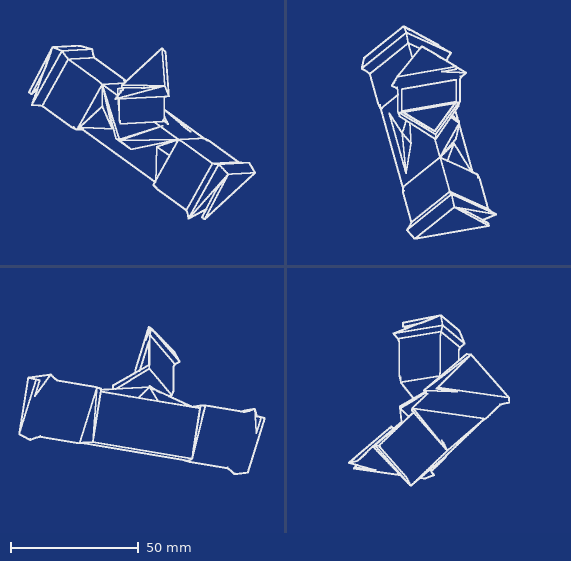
import cadquery as cq
import math

RUN_HALF_LENGTH = 46.0
RUN_BEAD_DIAMETER = 36.0
BRANCH_HEIGHT = 44.9

RUN_PROFILE = [
    (20.0, 15.0),
    (21.8, 15.4),
    (22.45, 15.5),
    (37.7, 15.5),
    (39.1, 16.3),
    (41.0, RUN_BEAD_DIAMETER / 2),
]
RUN_END_RADIUS = 15.9
RUN_BORE_RADIUS = 14.0
RUN_LIP = 1.5

BRANCH_PROFILE = [
    (19.6, 11.8),
    (21.8, 12.3),
    (22.4, 12.5),
    (36.4, 12.5),
    (37.8, 13.1),
    (39.7, 15.0),
]
BRANCH_END_RADIUS = 12.8
BRANCH_BORE_RADIUS = 10.95
BRANCH_LIP = 1.75

BRANCH_RECESS = 0.1

SKIRT_RADIUS = 12.0
SKIRT_FLOOR_RADIUS = 10.5
SKIRT_FLOOR_DEPTH = 0.3
SKIRT_EDGE = 19.6
SKIRT_TIP = 16.5

BODY_RADIUS = 15.0
BODY_THIN_RADIUS = 13.4
BODY_HALF_LENGTH = RUN_PROFILE[0][0]
FLANGE_HALF_LENGTH = 21.8
KEEL_TOP = -11.8

POCKET_CORNERS = [(-7.3, 5.6), (13.2, 9.2)]

SADDLE_REACH = 12.2
SADDLE_HEIGHT = 8.65
SADDLE_FOOT_HALF_WIDTH = 4.0
SADDLE_FOOT_HEIGHT = 3.9
BLADE_HEIGHT = 0.7
BLADE_END_X = 11.7
BLADE_END_Z = 16.6

REAR_SPAN = 15.3
REAR_FOOT_HEIGHT = 2.4
REAR_REACH = 10.8
REAR_HEIGHT = 8.3
REAR_LEFT_X = -4.4
REAR_LEFT_HEIGHT = 6.8
REAR_RIGHT_X = 9.4
REAR_RIGHT_HEIGHT = 9.1

FLAT = 8.46e-06


def convex_solid(points):
    """Smallest flat-faced solid that holds all the points."""
    corners = [cq.Vector(*p) for p in points]
    count = len(corners)
    faces = {}
    for i in range(count):
        for j in range(i + 1, count):
            for k in range(j + 1, count):
                normal = (corners[j] - corners[i]).cross(corners[k] - corners[i])
                if normal.Length < FLAT:
                    continue
                normal = normal.normalized()
                heights = [(c - corners[i]).dot(normal) for c in corners]
                if min(heights) < -FLAT and max(heights) > FLAT:
                    continue
                on_face = tuple(n for n, h in enumerate(heights) if abs(h) < FLAT)
                faces[on_face] = (normal, (corners[j] - corners[i]).normalized())
    return cq.Workplane(cq.Solid.makeSolid(cq.Shell.makeShell(
        [flat_face([corners[n] for n in ring], *axes) for ring, axes in faces.items()]
    )))


def flat_face(corners, normal, along):
    """Convex polygon through coplanar corners, put in order around their middle."""
    middle = sum(corners, cq.Vector()) / len(corners)
    across = normal.cross(along)

    def turn(corner):
        arm = corner - middle
        return math.atan2(arm.dot(across), arm.dot(along))

    ordered = sorted(corners, key=turn)
    return cq.Face.makeFromWires(cq.Wire.makePolygon(ordered, close=True))


def run_point(side):
    """Maps (along the axis, to the ridge, to +Y) for the run end on one side."""
    return lambda along, ridge, across: (side * along, across, ridge)


def branch_point(along, ridge, across):
    """Maps (along the axis, to the ridge, to +Y) for the branch, whose ridge is at +X."""
    return (ridge, across, along)


def half_section(place, along, radius):
    """Corners of the three-sided half section: the ridge and the two edges of the flat side."""
    return [place(along, radius, 0), place(along, 0, radius), place(along, 0, -radius)]


def socket(place, profile, end, end_radius, bore_radius, lip):
    """Shank and bead from the profile, then the sloping end with its lip.

    The steps of the profile stay marked on the flat side, so faces are not merged.
    """
    sections = [half_section(place, along, radius) for along, radius in profile]
    solid = convex_solid(sections[0] + sections[1])
    for inner, outer in zip(sections[1:], sections[2:]):
        solid = solid.union(convex_solid(inner + outer), clean=False)

    end_ridge = (end_radius, 0)
    end_edge = (0, end_radius)
    slope_end = [place(end, *corner) for corner in (end_ridge, end_edge, (0, 0))]
    solid = solid.union(convex_solid(sections[-1] + slope_end), clean=False)

    lip_outline = [end_ridge, end_edge, (0, -bore_radius)]
    lip_corners = [place(along, *corner) for along in (end - lip, end) for corner in lip_outline]
    return solid.union(convex_solid(lip_corners), clean=False)


def run_socket(side):
    return socket(
        run_point(side), RUN_PROFILE, RUN_HALF_LENGTH, RUN_END_RADIUS, RUN_BORE_RADIUS, RUN_LIP
    ).clean()


def branch_skirt():
    """Sloping skirt under the branch, with a tip at -X and a ridge below."""
    neck_bottom, neck_radius = BRANCH_PROFILE[0]
    rim = BRANCH_PROFILE[1][0]
    tip = [(-SKIRT_RADIUS, 0, SKIRT_EDGE), (-SKIRT_RADIUS, 0, SKIRT_TIP)]
    sides = [(0, y, z) for y in (-SKIRT_RADIUS, SKIRT_RADIUS) for z in (neck_bottom, rim)]
    skirt = convex_solid(tip + sides + [(neck_radius, 0, neck_bottom)])

    fall = (rim - SKIRT_EDGE) / SKIRT_RADIUS
    floor_outline = [(0, -SKIRT_FLOOR_RADIUS), (0, SKIRT_FLOOR_RADIUS), (-SKIRT_FLOOR_RADIUS, 0)]
    floor = [
        (x, y, rim + fall * x + offset)
        for x, y in floor_outline
        for offset in (-SKIRT_FLOOR_DEPTH, SKIRT_FLOOR_DEPTH)
    ]
    return skirt.cut(convex_solid(floor))


def branch_socket():
    solid = socket(
        branch_point, BRANCH_PROFILE, BRANCH_HEIGHT,
        BRANCH_END_RADIUS, BRANCH_BORE_RADIUS, BRANCH_LIP,
    )
    bottom = BRANCH_PROFILE[2][0]
    top = BRANCH_PROFILE[3][0]
    recess = cq.Workplane("XY").box(
        BRANCH_RECESS, 2 * BRANCH_BORE_RADIUS, top - bottom, centered=(False, True, False)
    ).translate((0, 0, bottom))
    return solid.union(branch_skirt(), clean=False).cut(recess, clean=False)


def body_core():
    """Four-sided bar along X, set in on its -Y side."""
    keel_y = -(BODY_THIN_RADIUS + KEEL_TOP)
    outline = [
        (0, BODY_RADIUS),
        (BODY_RADIUS, 0),
        (0, -BODY_RADIUS),
        (keel_y, KEEL_TOP),
        (-BODY_THIN_RADIUS, 0),
    ]
    return (
        cq.Workplane("YZ").polyline(outline).close().extrude(BODY_HALF_LENGTH, both=True)
    )


def body_flange(side):
    """Wedge below the axis that carries the inner end of a run socket."""
    inner = side * BODY_HALF_LENGTH
    outer = side * FLANGE_HALF_LENGTH
    edges = [(x, y, 0) for x in (inner, outer) for y in (-BODY_RADIUS, BODY_RADIUS)]
    return convex_solid(edges + [(inner, 0, -BODY_RADIUS)])


def flank_y(z):
    """Y of the -Y upper flank at a height above the axis."""
    return -BODY_THIN_RADIUS * (1 - z / BODY_RADIUS)


def flank_pocket(x, z):
    """Three-sided pocket in the -Y upper flank, from the nearer end of the body to a corner."""
    end = math.copysign(BODY_HALF_LENGTH, x)
    return convex_solid([
        (end, 0, BODY_RADIUS),
        (end, -BODY_THIN_RADIUS, 0),
        (end, 0, 0),
        (x, flank_y(z), z),
    ])


def front_saddle():
    """Overhanging point on the -Y side, joined to the top ridge."""
    top = [(x, 0, BODY_RADIUS) for x in (-BODY_HALF_LENGTH, BODY_HALF_LENGTH)]
    foot_y = flank_y(SADDLE_FOOT_HEIGHT)
    foot = [
        (x, foot_y, SADDLE_FOOT_HEIGHT) for x in (-SADDLE_FOOT_HALF_WIDTH, SADDLE_FOOT_HALF_WIDTH)
    ]
    return convex_solid(top + foot + [(0, -SADDLE_REACH, SADDLE_HEIGHT)])


def saddle_blade():
    """Thin fin from the saddle point up to the +X side of the branch."""
    return convex_solid([
        (0, -SADDLE_REACH, SADDLE_HEIGHT),
        (0, -SADDLE_REACH, SADDLE_HEIGHT + BLADE_HEIGHT),
        (0, -SADDLE_REACH + BLADE_HEIGHT, SADDLE_HEIGHT),
        (BLADE_END_X, 0, BLADE_END_Z),
    ])


def rear_saddle():
    """Low point on the +Y side, standing on the upper flank of the body."""
    flank = [
        (-REAR_SPAN, REAR_FOOT_HEIGHT),
        (REAR_SPAN, REAR_FOOT_HEIGHT),
        (REAR_RIGHT_X, REAR_RIGHT_HEIGHT),
        (REAR_LEFT_X, REAR_LEFT_HEIGHT),
    ]
    corners = [(x, BODY_RADIUS - z, z) for x, z in flank]
    return convex_solid(corners + [(0, REAR_REACH, REAR_HEIGHT), (0, 0, 0)])


def centre_body():
    solid = body_core()
    for side in (-1, 1):
        solid = solid.union(body_flange(side))
    for x, z in POCKET_CORNERS:
        solid = solid.cut(flank_pocket(x, z))
    return solid.union(front_saddle()).union(rear_saddle()).union(saddle_blade())


body = centre_body()
branch = branch_socket()
run_sockets = [run_socket(side) for side in (-1, 1)]

result = cq.Compound.makeCompound([
    *body.solids().vals(),
    *branch.solids().vals(),
    *[solid for run in run_sockets for solid in run.solids().vals()],
])